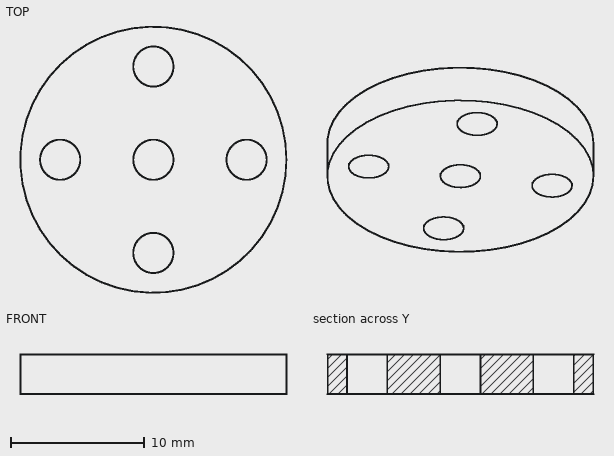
import cadquery as cq

disc_diameter = 20.0
thickness = 3.0
hole_diameter = 3.0
bolt_circle_radius = 7.0
bolt_hole_count = 4

disc = cq.Workplane("XY").circle(disc_diameter / 2).extrude(thickness)

bored_disc = disc.faces(">Z").workplane().hole(hole_diameter)

result = (
    bored_disc.faces(">Z")
    .workplane(origin=(0, 0, thickness))
    .polarArray(bolt_circle_radius, 0, 360, bolt_hole_count)
    .hole(hole_diameter)
)